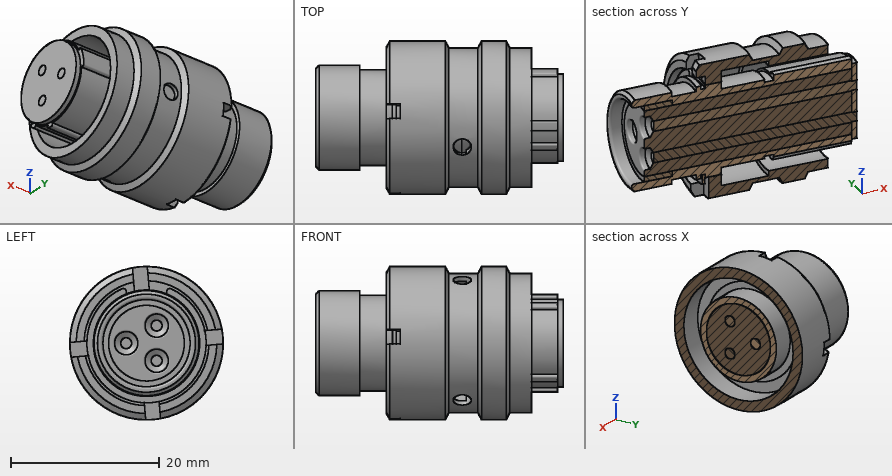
import cadquery as cq
import math

NOSE_END = 5.97
RING_START = 9.5
CLIP_GROOVE_START = 10.3
CLIP_START = 10.4
CLIP_END = 10.88
SHOULDER_END = 13.35
RELIEF_START = 19.7
RELIEF_END = 21.02
RING_END = 29.1
SPIGOT_END = 32.6
TOTAL_LENGTH = 33.37

NOSE_RADIUS = 7.07
NOSE_CHAMFER = 0.47
NECK_RADIUS = 6.47
COLLAR_RADIUS = 7.17
CLIP_GROOVE_RADIUS = 6.67
SPIGOT_RADIUS = 6.15
RELIEF_RADIUS = 5.8
REAR_BORE_RADIUS = 5.87
REAR_LIP_FILLET = 0.4
INSULATOR_FACE = 1.87

KEYS = (
    (10, 1.35),
    (38, 1.07),
    (138, 1.07),
    (174, 1.07),
    (282, 3.1),
)
KEY_TIP_RADIUS = 6.6
KEY_CORNER_FILLET = 0.25

INSULATOR_RADIUS = 5.1
SEAL_RADIUS = 5.9
CONTACT_COUNT = 3
CONTACT_CIRCLE_RADIUS = 2.75
CONTACT_RADIUS = 0.75
CAVITY_RADIUS = 1.57
CAVITY_LIP_FILLET = 0.27
CAVITY_CONE_START = 0.87
CAVITY_DEPTH = 1.37

CLIP_RADIUS = 8.05
CLIP_GAP = 5.47
CLIP_CORNER_FILLET = 0.4

RING_CLOCKING = 5
RING_RADIUS = 10.35
RING_GROOVE_RADIUS = 9.4
RING_CHAMFER = 0.5
REAR_CHAMFER_RADIUS = 9.48
REAR_BAND_END = 17.95
FRONT_BAND_START = 21.85
FRONT_BAND_END = 26.15
RING_REAR_BORE_RADIUS = 8.4
RING_CAVITY_RADIUS = 8.75
RING_CAVITY_END = 20.3
RING_FRONT_BORE_RADIUS = 8.0
SLOT_COUNT = 4
SLOT_WIDTH = 2.0
SLOT_END = 11.38
SIGHT_HOLE_COUNT = 3
SIGHT_HOLE_ANGLE = 25
SIGHT_HOLE_RADIUS = 1.2
SIGHT_HOLE_X = 19.75


def cylinder(radius, start, end):
    """Solid cylinder on the X axis between two stations."""
    return cq.Workplane("YZ", origin=(start, 0, 0)).circle(radius).extrude(end - start)


def tube(outer_radius, inner_radius, start, end):
    """Hollow cylinder on the X axis between two stations."""
    return cylinder(outer_radius, start, end).cut(cylinder(inner_radius, start, end))


def turned(outline):
    """Revolve a closed (x, radius) outline about the X axis."""
    return cq.Workplane("XY").polyline(outline).close().revolve(360, (0, 0, 0), (1, 0, 0))


def turn_about_axis(body, angle):
    """Turn a body about X by an angle measured from +Z towards -Y."""
    return body.rotate((0, 0, 0), (1, 0, 0), angle)


def spigot_key(angle, width):
    """Key with a cylindrical top and two rounded outer corners, standing on the spigot."""
    length = SPIGOT_END - RELIEF_END
    blank = (
        cq.Workplane("XY", origin=(RELIEF_END, 0, RELIEF_RADIUS))
        .box(length, width, KEY_TIP_RADIUS, centered=(False, True, False))
        .intersect(cylinder(KEY_TIP_RADIUS, RELIEF_END, SPIGOT_END))
    )
    rounded = blank.edges("|X").edges(">Z").fillet(KEY_CORNER_FILLET)
    return turn_about_axis(rounded, angle)


def make_shell():
    outside = turned([
        (0, 0),
        (0, NOSE_RADIUS - NOSE_CHAMFER),
        (NOSE_CHAMFER, NOSE_RADIUS),
        (NOSE_END, NOSE_RADIUS),
        (NOSE_END, NECK_RADIUS),
        (RING_START, NECK_RADIUS),
        (RING_START, COLLAR_RADIUS),
        (CLIP_GROOVE_START, COLLAR_RADIUS),
        (CLIP_GROOVE_START, CLIP_GROOVE_RADIUS),
        (CLIP_END, CLIP_GROOVE_RADIUS),
        (CLIP_END, COLLAR_RADIUS),
        (SHOULDER_END, COLLAR_RADIUS),
        (SHOULDER_END, SPIGOT_RADIUS),
        (RELIEF_START, SPIGOT_RADIUS),
        (RELIEF_START, RELIEF_RADIUS),
        (RELIEF_END, RELIEF_RADIUS),
        (RELIEF_END, SPIGOT_RADIUS),
        (SPIGOT_END, SPIGOT_RADIUS),
        (SPIGOT_END, 0),
    ])
    rear_bored = outside.cut(cylinder(REAR_BORE_RADIUS, 0, NOSE_END))
    shell = rear_bored.faces("<X").edges(cq.selectors.RadiusNthSelector(0)).fillet(REAR_LIP_FILLET)
    for angle, width in KEYS:
        shell = shell.union(spigot_key(angle, width))
    return shell.cut(cylinder(INSULATOR_RADIUS, 0, SPIGOT_END))


def make_retainer():
    """Sleeve that fills the rear bore around the insulator."""
    return tube(REAR_BORE_RADIUS, INSULATOR_RADIUS, INSULATOR_FACE, NOSE_END)


def contact_positions():
    step = 2 * math.pi / CONTACT_COUNT
    return [
        (CONTACT_CIRCLE_RADIUS * math.cos(i * step), CONTACT_CIRCLE_RADIUS * math.sin(i * step))
        for i in range(CONTACT_COUNT)
    ]


def make_contact(y, z):
    """Round contact from the bottom of its cavity to the mating face."""
    cavity_bottom = INSULATOR_FACE + CAVITY_DEPTH
    return cylinder(CONTACT_RADIUS, cavity_bottom, TOTAL_LENGTH).translate((0, y, z))


def make_cavity(y, z):
    """Round pocket with a rounded mouth and a conical bottom that ends at the contact."""
    mouth_radius = CAVITY_RADIUS + CAVITY_LIP_FILLET
    arc_inset = CAVITY_LIP_FILLET * (1 - math.sqrt(0.5))
    pocket = (
        cq.Workplane("XY")
        .moveTo(0, 0)
        .lineTo(0, mouth_radius)
        .threePointArc((arc_inset, CAVITY_RADIUS + arc_inset), (CAVITY_LIP_FILLET, CAVITY_RADIUS))
        .lineTo(CAVITY_CONE_START, CAVITY_RADIUS)
        .lineTo(CAVITY_DEPTH, CONTACT_RADIUS)
        .lineTo(CAVITY_DEPTH, 0)
        .close()
        .revolve(360, (0, 0, 0), (1, 0, 0))
    )
    return pocket.translate((INSULATOR_FACE, y, z))


def make_insulator():
    insulator = cylinder(INSULATOR_RADIUS, INSULATOR_FACE, SPIGOT_END)
    for y, z in contact_positions():
        insulator = insulator.cut(make_cavity(y, z)).cut(make_contact(y, z))
    return insulator


def make_front_seal():
    """Disc on the mating face, pierced by the contacts."""
    seal = cylinder(SEAL_RADIUS, SPIGOT_END, TOTAL_LENGTH)
    for y, z in contact_positions():
        seal = seal.cut(make_contact(y, z))
    return seal


def make_clip():
    """Open retaining clip with its gap at the top and rounded outer corners."""
    gap = (
        cq.Workplane("XY", origin=(CLIP_START, 0, 0))
        .box(CLIP_END - CLIP_START, CLIP_GAP, CLIP_RADIUS, centered=(False, True, False))
    )
    clip = tube(CLIP_RADIUS, CLIP_GROOVE_RADIUS, CLIP_START, CLIP_END).cut(gap)
    return clip.edges("|X").edges(">Z").fillet(CLIP_CORNER_FILLET)


def make_coupling_ring():
    ring = turned([
        (RING_START, RING_REAR_BORE_RADIUS),
        (RING_START, REAR_CHAMFER_RADIUS),
        (RING_START + RING_CHAMFER, RING_RADIUS),
        (REAR_BAND_END - RING_CHAMFER, RING_RADIUS),
        (REAR_BAND_END, RING_GROOVE_RADIUS),
        (FRONT_BAND_START, RING_GROOVE_RADIUS),
        (FRONT_BAND_START + RING_CHAMFER, RING_RADIUS),
        (FRONT_BAND_END - RING_CHAMFER, RING_RADIUS),
        (FRONT_BAND_END, RING_GROOVE_RADIUS),
        (RING_END, RING_GROOVE_RADIUS),
        (RING_END, RING_FRONT_BORE_RADIUS),
        (RING_CAVITY_END, RING_FRONT_BORE_RADIUS),
        (RING_CAVITY_END, RING_CAVITY_RADIUS),
        (SHOULDER_END, RING_CAVITY_RADIUS),
        (SHOULDER_END, COLLAR_RADIUS),
        (CLIP_END, COLLAR_RADIUS),
        (CLIP_END, RING_REAR_BORE_RADIUS),
    ])
    slot = (
        cq.Workplane("XY", origin=(RING_START, 0, 0))
        .box(SLOT_END - RING_START, SLOT_WIDTH, RING_RADIUS, centered=(False, True, False))
    )
    for i in range(SLOT_COUNT):
        ring = ring.cut(turn_about_axis(slot, i * 360 / SLOT_COUNT - RING_CLOCKING))
    sight_hole = cq.Workplane("XY", origin=(SIGHT_HOLE_X, 0, 0)).circle(SIGHT_HOLE_RADIUS).extrude(RING_RADIUS)
    for i in range(SIGHT_HOLE_COUNT):
        ring = ring.cut(turn_about_axis(sight_hole, i * 360 / SIGHT_HOLE_COUNT + SIGHT_HOLE_ANGLE))
    return ring


shell = make_shell()
retainer = make_retainer()
insulator = make_insulator()
contacts = [make_contact(y, z) for y, z in contact_positions()]
front_seal = make_front_seal()
clip = make_clip()
coupling_ring = make_coupling_ring()

result = cq.Compound.makeCompound([
    shell.val(),
    retainer.val(),
    insulator.val(),
    *[contact.val() for contact in contacts],
    front_seal.val(),
    clip.val(),
    coupling_ring.val(),
])